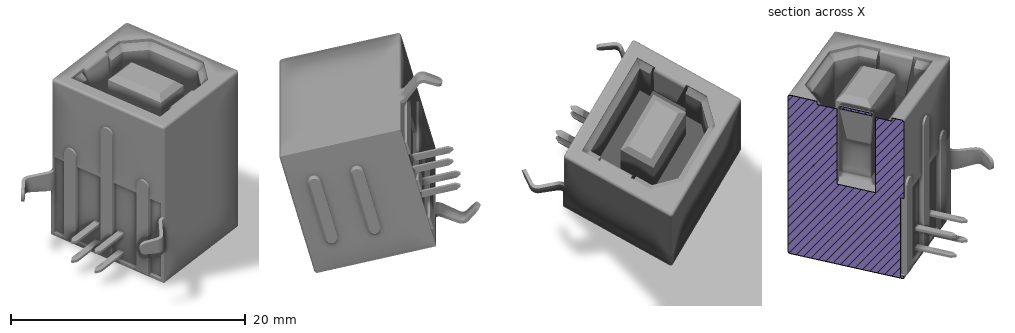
import cadquery as cq
import math


shell_width = 12.0
shell_depth = 10.7
shell_height = 16.2
shell_half_width = shell_width / 2
sheet = 0.3
edge_radius = 0.25

window_top = 8.2
rib_width = 1.2
rib_projection = 0.2
side_rib_offset = 3.86
side_rib_top = 9.9
middle_rib_top = 13.73

cavity_width = 9.5
cavity_front = 1.14
cavity_back = 9.9
cavity_corner = 1.95
lead_in = 0.55
lead_in_height = 0.5
lead_in_top = shell_height - sheet
cavity_floor = window_top

tongue_width = 5.63
tongue_front = 3.83
tongue_back = 7.05
tongue_chamfer = 0.5
tongue_recess = 0.4
tongue_top = shell_height - tongue_recess

spring_center = 4.42
notch_width = 3.5
spring_width = 3.0
spring_tip_width = 2.18
spring_bend_radius = 0.3
spring_length = 3.63
spring_root = 4.7
spring_tip = 3.8

clip_center = 5.79
clip_width = 1.95
clip_tip_width = 1.09
clip_reach = 3.81
clip_span = 14.7
clip_straight = 0.07
clip_out_angle = math.radians(40)
clip_in_angle = math.radians(35)
root_bend_radius = 0.7
outer_bend_radius = 0.61
clip_tip_radius = 0.53

pin_pitch = 2.5
pin_rows = (1.07, 3.07)
pin_width = 0.6
pin_thickness = 0.25
pin_reach = 3.4
pin_point_length = 0.4
pin_point_width = 0.13

foot_length = 6.98
foot_width = 1.1
foot_height = 0.3
foot_edge_chamfer = 0.16
foot_rows = (4.62, 8.4)


def box(x_range, y_range, z_range):
    """Axis-aligned block between the given limits."""
    sizes = [high - low for low, high in (x_range, y_range, z_range)]
    corner = (x_range[0], y_range[0], z_range[0])
    return cq.Workplane("XY").box(*sizes, centered=False).translate(corner)


def mirrored_pair(solid):
    """The solid together with its mirror image across the centre plane X = 0."""
    return solid.union(solid.mirror("YZ"))


def shell_block():
    """Rounded outer block; its front edges stay sharp from the clips downwards."""
    x_range = (-shell_half_width, shell_half_width)
    y_range = (0, shell_depth)
    rounding_start = clip_center + clip_width / 2
    lower = box(x_range, y_range, (0, rounding_start))
    lower = lower.edges("(>Y and |Z) or (>Y and <Z)").fillet(edge_radius)
    upper = box(x_range, y_range, (rounding_start, shell_height))
    upper = upper.edges("|Z or >Z").fillet(edge_radius)
    return lower.union(upper)


def front_window():
    half_width = shell_half_width - sheet
    return box((-half_width, half_width), (0, sheet), (sheet, window_top))


def rib(x_center, top):
    """Round-topped rib from the window floor to in front of the shell."""
    radius = rib_width / 2
    return (
        cq.Workplane("XZ", origin=(x_center, sheet, 0))
        .moveTo(-radius, sheet)
        .lineTo(radius, sheet)
        .lineTo(radius, top - radius)
        .threePointArc((0, top), (-radius, top - radius))
        .close()
        .extrude(sheet + rib_projection)
    )


def cavity_outline(inset, z):
    """Cavity outline with two cut back corners, shrunk evenly by the inset."""
    half_width = cavity_width / 2 - inset
    front = cavity_front + inset
    back = cavity_back - inset
    corner = cavity_corner - inset * (2 - math.sqrt(2))
    return cq.Workplane("XY").workplane(offset=z).polyline([
        (-half_width, front),
        (half_width, front),
        (half_width, back - corner),
        (half_width - corner, back),
        (corner - half_width, back),
        (-half_width, back - corner),
    ]).close()


def plug_cavity():
    lead_in_bottom = lead_in_top - lead_in_height
    opening = cavity_outline(0, lead_in_top).extrude(sheet)
    lead_in_angle = math.degrees(math.atan2(lead_in, lead_in_height))
    funnel = cavity_outline(0, lead_in_top).extrude(-lead_in_height, taper=lead_in_angle)
    well = cavity_outline(lead_in, cavity_floor).extrude(lead_in_bottom - cavity_floor)
    half_width = cavity_width / 2
    notches = box(
        (-half_width, half_width),
        (spring_center - notch_width / 2, spring_center + notch_width / 2),
        (cavity_floor, shell_height),
    )
    return opening.union(funnel).union(well).union(notches)


def contact_tongue():
    half_width = tongue_width / 2
    tongue = box(
        (-half_width, half_width),
        (tongue_front, tongue_back),
        (cavity_floor - sheet, tongue_top),
    )
    return tongue.faces(">Z").chamfer(tongue_chamfer)


def shield_spring():
    """Spring at -X: folded down from the shell top, leaning in and tapering."""
    bend_end = spring_root - spring_bend_radius
    bend_z = shell_height - spring_bend_radius
    bend_mid = spring_bend_radius * math.sqrt(0.5)
    tip_z = shell_height - spring_length
    anchor = cavity_width / 2 + sheet
    strip = (
        cq.Workplane("XZ", origin=(0, spring_center, 0))
        .moveTo(-anchor, shell_height)
        .lineTo(-spring_root, shell_height)
        .threePointArc((-spring_root + bend_mid, bend_z + bend_mid), (-bend_end, bend_z))
        .lineTo(-spring_tip, tip_z)
        .lineTo(-spring_tip - sheet, tip_z)
        .lineTo(-bend_end - sheet, bend_z)
        .lineTo(-anchor, bend_z)
        .close()
        .extrude(spring_width / 2, both=True)
    )
    taper = (
        cq.Workplane("YZ", origin=(-anchor, spring_center, 0))
        .polyline([
            (-spring_width / 2, shell_height),
            (-spring_width / 2, bend_z),
            (-spring_tip_width / 2, tip_z),
            (spring_tip_width / 2, tip_z),
            (spring_width / 2, bend_z),
            (spring_width / 2, shell_height),
        ])
        .close()
        .extrude(anchor)
    )
    return strip.intersect(taper)


def board_clip():
    """Clip at -X: a sheet strip bent outwards, then back in, with a tapered round tip."""
    root_x = -shell_half_width + sheet / 2
    apex_x = -clip_span / 2 + sheet / 2
    out_sin, out_cos = math.sin(clip_out_angle), math.cos(clip_out_angle)
    in_sin, in_cos = math.sin(clip_in_angle), math.cos(clip_in_angle)

    bend_start = (root_x, -clip_straight)
    bend_end = (
        root_x - root_bend_radius * (1 - out_cos),
        -clip_straight - root_bend_radius * out_sin,
    )
    turn_start_x = apex_x + outer_bend_radius * (1 - out_cos)
    run_out = (bend_end[0] - turn_start_x) / out_sin
    turn_start = (turn_start_x, bend_end[1] - run_out * out_cos)
    apex = (apex_x, turn_start[1] - outer_bend_radius * out_sin)
    turn_end = (
        apex_x + outer_bend_radius * (1 - in_cos),
        apex[1] - outer_bend_radius * in_sin,
    )
    tip_y = -clip_reach + sheet / 2 * in_sin
    run_in = (turn_end[1] - tip_y) / in_cos
    tip = (turn_end[0] + run_in * in_sin, tip_y)

    center_line = (
        cq.Workplane("XY", origin=(0, 0, clip_center))
        .moveTo(root_x, sheet)
        .lineTo(*bend_start)
        .tangentArcPoint(bend_end, relative=False)
        .lineTo(*turn_start)
        .threePointArc(apex, turn_end)
        .lineTo(*tip)
    )
    strip = (
        cq.Workplane("XZ", origin=(root_x, sheet, clip_center))
        .rect(sheet, clip_width)
        .sweep(center_line)
    )
    taper = (
        cq.Workplane("YZ", origin=(-clip_span, 0, clip_center))
        .polyline([
            (sheet, -clip_width / 2),
            (0, -clip_width / 2),
            (-clip_reach, -clip_tip_width / 2),
            (-clip_reach, clip_tip_width / 2),
            (0, clip_width / 2),
            (sheet, clip_width / 2),
        ])
        .close()
        .extrude(clip_span)
    )
    clip = strip.intersect(taper)
    return clip.faces("<Y").edges("<Z or >Z").fillet(clip_tip_radius)


def contact_pin(x_center, z_center):
    """Flat pin with a tapered point, anchored in the block behind the window."""
    half_width = pin_width / 2
    half_point = pin_point_width / 2
    shoulder = -pin_reach + pin_point_length
    anchor = 2 * sheet
    return (
        cq.Workplane("XY", origin=(x_center, 0, z_center))
        .polyline([
            (-half_width, anchor),
            (-half_width, shoulder),
            (-half_point, -pin_reach),
            (half_point, -pin_reach),
            (half_width, shoulder),
            (half_width, anchor),
        ])
        .close()
        .extrude(pin_thickness / 2, both=True)
    )


def foot(y_center):
    """Round-ended foot with a chamfered lower edge under the shell."""
    return (
        cq.Workplane("XY", origin=(0, y_center, 0))
        .slot2D(foot_length, foot_width)
        .extrude(-foot_height)
        .faces("<Z")
        .chamfer(foot_edge_chamfer)
    )


result = shell_block().cut(front_window()).cut(plug_cavity())
result = result.union(contact_tongue())
result = result.union(mirrored_pair(shield_spring()))
result = result.union(rib(0, middle_rib_top))
result = result.union(mirrored_pair(rib(-side_rib_offset, side_rib_top)))
result = result.union(mirrored_pair(board_clip()))
for row_z in pin_rows:
    result = result.union(mirrored_pair(contact_pin(-pin_pitch / 2, row_z)))
for row_y in foot_rows:
    result = result.union(foot(row_y))